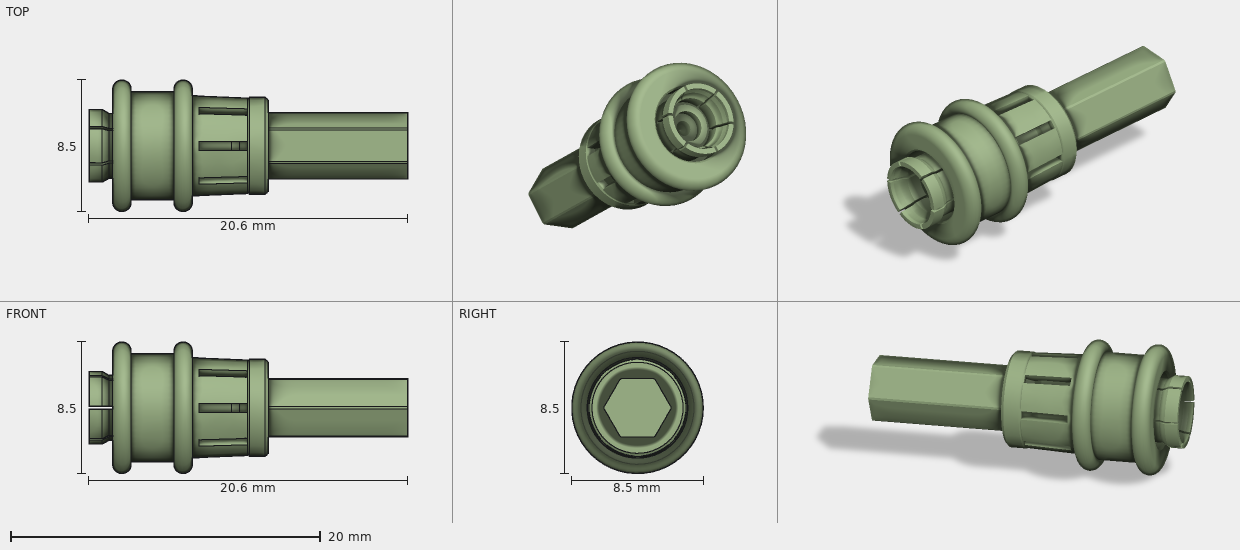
import cadquery as cq
import math

OVERALL_LENGTH = 20.57

RING_OUTER_RADIUS = 4.25
RING_WIDTH = 1.2
RING_ROUND = RING_WIDTH / 2
FRONT_RING_X = 1.51
REAR_RING_X = 5.46
BODY_RADIUS = 3.5

TAPER_START_X = REAR_RING_X + RING_ROUND
TAPER_START_RADIUS = 3.27
TAPER_END_X = 10.22
TAPER_END_RADIUS = 3.1

FLANGE_END_X = 11.56
FLANGE_RADIUS = 3.14
FLANGE_FRONT_CHAMFER = 0.13
FLANGE_REAR_CHAMFER = 0.2

HEX_SIDES = 6
HEX_ACROSS_FLATS = 3.8
HEX_ACROSS_CUT_CORNERS = 4.3

COLLET_RADIUS = 2.35
COLLET_HEAD_LENGTH = 0.84
COLLET_NECK_RADIUS = 2.1
COLLET_NECK_X = 1.27
CLEARANCE_RADIUS = 2.46
CLEARANCE_CHAMFER = 0.13
CLEARANCE_END_X = 3.0

MOUTH_RADIUS = 2.02
MOUTH_LENGTH = 0.3
BORE_RADIUS = 1.89
BORE_START_X = 0.62
THROAT_RADIUS = 1.65
THROAT_START_X = 1.12
SOCKET_FLOOR_X = 2.15
BOSS_RADIUS = 1.43
BOSS_HEIGHT = 0.2
WELL_RADIUS = 1.0
WELL_DEPTH = 0.6

CONTACT_MOUTH_RADIUS = 0.5
CONTACT_RADIUS = 0.3
CONTACT_CONE_DEPTH = 0.25
CONTACT_TIP_DEPTH = 0.3

COLLET_SLITS = 6
COLLET_SLIT_WIDTH = 0.17

BODY_SLOTS = 8
BODY_SLOT_WIDTH = 0.58
BODY_SLOT_X = 7.09
CORE_RADIUS = 2.5
CORE_NECKING_X = 9.19
CORE_WAIST_RADIUS = 2.3
FLARE_START_X = 9.69
FLARE_END_RADIUS = 2.55


def revolve_about_x(profile):
    return profile.close().revolve(360, (0, 0, 0), (1, 0, 0))


def polygon_of_revolution(points):
    return revolve_about_x(cq.Workplane("XY").polyline(points))


def rounded_ring(start_x):
    shoulder_radius = RING_OUTER_RADIUS - RING_ROUND
    end_x = start_x + RING_WIDTH
    profile = (
        cq.Workplane("XY")
        .moveTo(start_x, 0)
        .lineTo(start_x, shoulder_radius)
        .threePointArc((start_x + RING_ROUND, RING_OUTER_RADIUS), (end_x, shoulder_radius))
        .lineTo(end_x, 0)
    )
    return revolve_about_x(profile)


def torus_ring(start_x):
    center = (start_x + RING_ROUND, RING_OUTER_RADIUS - RING_ROUND)
    return cq.Workplane("XY").moveTo(*center).circle(RING_ROUND).revolve(360, (0, 0, 0), (1, 0, 0))


def main_body():
    barrel = polygon_of_revolution([
        (FRONT_RING_X, 0),
        (FRONT_RING_X, BODY_RADIUS),
        (TAPER_START_X, BODY_RADIUS),
        (TAPER_START_X, TAPER_START_RADIUS),
        (TAPER_END_X, TAPER_END_RADIUS),
        (TAPER_END_X, FLANGE_RADIUS - FLANGE_FRONT_CHAMFER),
        (TAPER_END_X + FLANGE_FRONT_CHAMFER, FLANGE_RADIUS),
        (FLANGE_END_X - FLANGE_REAR_CHAMFER, FLANGE_RADIUS),
        (FLANGE_END_X, FLANGE_RADIUS - FLANGE_REAR_CHAMFER),
        (FLANGE_END_X, 0),
    ])
    return barrel.union(rounded_ring(FRONT_RING_X)).union(torus_ring(REAR_RING_X))


def radial_bars(count, start_x, end_x, width, inner_radius, outer_radius):
    """Rectangular bars around the X axis, the first one pointing along +Y."""
    bars = cq.Workplane("XY")
    for index in range(count):
        bar = cq.Workplane("XY").box(
            end_x - start_x, outer_radius - inner_radius, width, centered=(False, False, True)
        )
        bar = bar.translate((start_x, inner_radius, 0))
        bars = bars.union(bar.rotate((0, 0, 0), (1, 0, 0), index * 360 / count))
    return bars


def body_slots():
    bars = radial_bars(BODY_SLOTS, BODY_SLOT_X, TAPER_END_X, BODY_SLOT_WIDTH, 0, BODY_RADIUS)
    core = polygon_of_revolution([
        (BODY_SLOT_X, 0),
        (BODY_SLOT_X, CORE_RADIUS),
        (CORE_NECKING_X, CORE_RADIUS),
        (FLARE_START_X, CORE_WAIST_RADIUS),
        (TAPER_END_X, FLARE_END_RADIUS),
        (TAPER_END_X, 0),
    ])
    return bars.cut(core)


def hexagon_bar(across_flats, corner_angle):
    corner_circle = across_flats / math.cos(math.pi / HEX_SIDES)
    bar = (
        cq.Workplane("YZ")
        .workplane(offset=FLANGE_END_X)
        .polygon(HEX_SIDES, corner_circle)
        .extrude(OVERALL_LENGTH - FLANGE_END_X)
    )
    return bar.rotate((0, 0, 0), (1, 0, 0), corner_angle)


def hex_shank():
    """Hexagon with corners on the Y axis, each corner cut flat by a second hexagon."""
    return hexagon_bar(HEX_ACROSS_FLATS, 0).intersect(hexagon_bar(HEX_ACROSS_CUT_CORNERS, 180 / HEX_SIDES))


def clearance():
    mouth_radius = CLEARANCE_RADIUS + CLEARANCE_CHAMFER
    return polygon_of_revolution([
        (FRONT_RING_X, 0),
        (FRONT_RING_X, mouth_radius),
        (FRONT_RING_X + CLEARANCE_CHAMFER, CLEARANCE_RADIUS),
        (CLEARANCE_END_X, CLEARANCE_RADIUS),
        (CLEARANCE_END_X, 0),
    ])


def collet():
    profile = (
        cq.Workplane("XY")
        .lineTo(0, COLLET_RADIUS)
        .lineTo(COLLET_HEAD_LENGTH, COLLET_RADIUS)
        .lineTo(COLLET_NECK_X, COLLET_NECK_RADIUS)
        .lineTo(CLEARANCE_END_X, COLLET_NECK_RADIUS)
        .lineTo(CLEARANCE_END_X, 0)
    )
    slits = radial_bars(COLLET_SLITS, 0, SOCKET_FLOOR_X, COLLET_SLIT_WIDTH, BOSS_RADIUS, COLLET_RADIUS)
    return revolve_about_x(profile).cut(socket()).cut(slits)


def arc_leaving_axially(start, end):
    """Midpoint of the arc from start to end that leaves start parallel to the X axis."""
    run = end[0] - start[0]
    drop = start[1] - end[1]
    arc_radius = (run**2 + drop**2) / (2 * drop)
    half_sweep = math.atan2(drop, run)
    return (
        start[0] + arc_radius * math.sin(half_sweep),
        start[1] - arc_radius * (1 - math.cos(half_sweep)),
    )


def socket():
    """Hollow of the collet, ending in a floor with a low round boss."""
    boss_face_x = SOCKET_FLOOR_X - BOSS_HEIGHT
    profile = (
        cq.Workplane("XY")
        .lineTo(0, MOUTH_RADIUS)
        .lineTo(MOUTH_LENGTH, MOUTH_RADIUS)
        .lineTo(BORE_START_X, BORE_RADIUS)
        .threePointArc(
            arc_leaving_axially((BORE_START_X, BORE_RADIUS), (THROAT_START_X, THROAT_RADIUS)),
            (THROAT_START_X, THROAT_RADIUS),
        )
        .lineTo(SOCKET_FLOOR_X, THROAT_RADIUS)
        .lineTo(SOCKET_FLOOR_X, BOSS_RADIUS)
        .lineTo(boss_face_x, BOSS_RADIUS)
        .lineTo(boss_face_x, 0)
    )
    return revolve_about_x(profile)


def well_and_contact_hole():
    """Well through the socket floor boss, with the conical contact hole in its own floor."""
    boss_face_x = SOCKET_FLOOR_X - BOSS_HEIGHT
    well_x = boss_face_x + WELL_DEPTH
    cone_x = well_x + CONTACT_CONE_DEPTH
    return polygon_of_revolution([
        (boss_face_x, 0),
        (boss_face_x, WELL_RADIUS),
        (well_x, WELL_RADIUS),
        (well_x, CONTACT_MOUTH_RADIUS),
        (cone_x, CONTACT_RADIUS),
        (cone_x + CONTACT_TIP_DEPTH, 0),
    ])


body = main_body().cut(body_slots()).union(hex_shank())
result = body.cut(clearance()).union(collet()).cut(well_and_contact_hole())